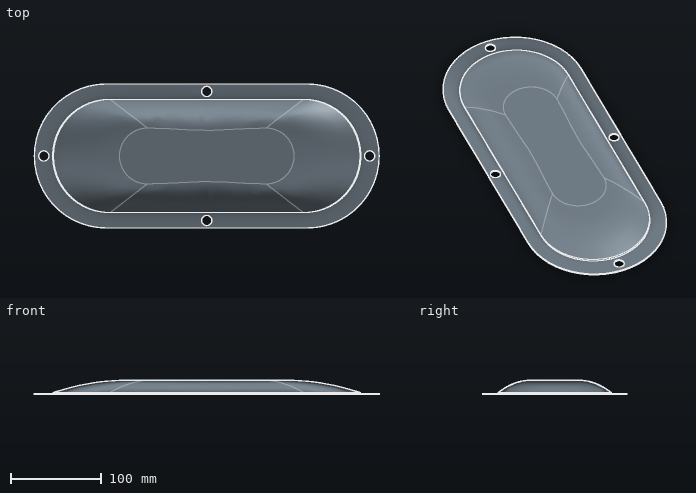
import cadquery as cq

length = 380.0
width = 159.0
flange_thickness = 1.5

hole_diameter = 11.0
hole_offset_x = 179.5
hole_offset_y = 71.0

total_height = 16.0
lip_height = 1.0
lip_end_inset = 1.0

base_radius = 62.5
base_center_x = 107.5

plateau_radius = 30.8
plateau_center_x = 65.5
plateau_waist = 28.0

flank_sections = 6
flank_roundness = 0.9


def waisted_outline(center_x, radius, waist, z):
    """Closed outline of two round ends joined by sides that narrow to half-width `waist`."""

    def point(x, y):
        return cq.Vector(x, y, z)

    def side(direction):
        """Side run on +Y (direction -1) or -Y (direction 1), tangent to both round ends."""
        tangent = cq.Vector(direction, 0, 0)
        points = [
            point(-direction * center_x, -direction * radius),
            point(0, -direction * waist),
            point(direction * center_x, -direction * radius),
        ]
        return cq.Edge.makeSpline(points, tangents=[tangent, tangent])

    def round_end(direction):
        return cq.Edge.makeThreePointArc(
            point(direction * center_x, -direction * radius),
            point(direction * (center_x + radius), 0),
            point(direction * center_x, direction * radius),
        )

    return cq.Wire.assembleEdges([side(1), round_end(1), side(-1), round_end(-1)])


def blend(start, end, fraction):
    return start + (end - start) * fraction


def make_flange():
    return cq.Workplane("XY").slot2D(length, width).extrude(flange_thickness)


def make_lip():
    """Low step under the dome that slopes inward only at the round ends."""
    top_center_x = base_center_x - lip_end_inset
    top_z = flange_thickness + lip_height
    outlines = [
        waisted_outline(base_center_x, base_radius, base_radius, flange_thickness),
        waisted_outline(top_center_x, base_radius, base_radius, top_z),
    ]
    return cq.Solid.makeLoft(outlines, ruled=True)


def make_flank():
    """Convex flank, steep at the lip and nearly level where it meets the plateau."""
    bottom_z = flange_thickness + lip_height
    full_rise = 1 - (1 - flank_roundness) ** 2
    outlines = []
    for index in range(flank_sections):
        inward = index / (flank_sections - 1)
        rise = (1 - (1 - flank_roundness * inward) ** 2) / full_rise
        outlines.append(
            waisted_outline(
                blend(base_center_x - lip_end_inset, plateau_center_x, inward),
                blend(base_radius, plateau_radius, inward),
                blend(base_radius, plateau_waist, inward),
                blend(bottom_z, total_height, rise),
            )
        )
    return cq.Solid.makeLoft(outlines)


hole_positions = [
    (-hole_offset_x, 0),
    (hole_offset_x, 0),
    (0, -hole_offset_y),
    (0, hole_offset_y),
]

holes = (
    cq.Workplane("XY")
    .pushPoints(hole_positions)
    .circle(hole_diameter / 2)
    .extrude(flange_thickness)
)

result = make_flange().union(make_lip()).union(make_flank()).cut(holes)